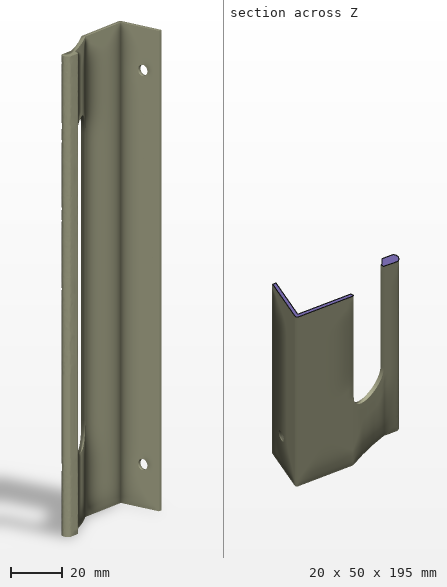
import cadquery as cq
import math

length = 195.0
depth = 50.0
flange_width = 20.0
sheet = 1.6
corner_radius = 1.0

wall_depth = 25.0
web_start_angle = math.radians(31.0)
web_end_angle = math.radians(19.0)
web_drop = 18.0

bead_left = 8.2
bead_right = 12.5
bead_nose_length = 1.7
bead_left_side = 4.4
bead_right_side = 3.8

slot_width = 19.0
slot_length = 136.0

hole_diameter = 4.5
hole_x = 12.2
hole_end_distance = 17.5

web_radius = web_drop / (math.sin(web_start_angle) - math.sin(web_end_angle))
arc_center_x = -web_radius * math.cos(web_start_angle)
arc_center_y = -wall_depth - web_radius * math.sin(web_start_angle)


def web_point(angle, offset):
    """Point on the web at a heading angle, offset from the outer face towards +X."""
    radius = web_radius + offset
    return (
        arc_center_x + radius * math.cos(angle),
        arc_center_y + radius * math.sin(angle),
    )


def make_sheet():
    """Flange, wall and curved web as one bent sheet."""
    mid_angle = (web_start_angle + web_end_angle) / 2
    inner_radius = web_radius + sheet
    inner_bend_y = arc_center_y + math.sqrt(inner_radius**2 - (sheet - arc_center_x) ** 2)
    return (
        cq.Workplane("XY")
        .moveTo(flange_width, 0)
        .lineTo(0, 0)
        .lineTo(0, -wall_depth)
        .threePointArc(web_point(mid_angle, 0), web_point(web_end_angle, 0))
        .lineTo(*web_point(web_end_angle, sheet))
        .threePointArc(web_point(mid_angle, sheet), (sheet, inner_bend_y))
        .lineTo(sheet, -sheet)
        .lineTo(flange_width, -sheet)
        .close()
        .extrude(length)
        .edges(cq.selectors.NearestToPointSelector((0, 0, length / 2)))
        .fillet(corner_radius)
    )


def make_bead():
    """Smooth rounded bead that grows out of the end of the web."""
    outer_end = web_point(web_end_angle, 0)
    inner_end = web_point(web_end_angle, sheet)
    side_front_y = -depth + bead_nose_length
    nose_x = (bead_left + bead_right) / 2
    bead_points = [
        (bead_left, side_front_y + bead_left_side),
        (bead_left, side_front_y),
        (nose_x, -depth),
        (bead_right, side_front_y),
        (bead_right, side_front_y + bead_right_side),
        inner_end,
    ]
    forward = (0, -1)
    across = (1, 0)
    backward = (0, 1)
    leaving_web = (-1, -2)
    returning_to_web = (-1, 0.5)
    bead_tangents = [
        leaving_web,
        forward,
        forward,
        across,
        backward,
        backward,
        returning_to_web,
    ]
    return (
        cq.Workplane("XY")
        .moveTo(*outer_end)
        .spline(bead_points, tangents=bead_tangents, includeCurrent=True)
        .close()
        .extrude(length)
    )


def make_finger_slot():
    """Round-ended opening cut square through the middle of the web."""
    mid_angle = (web_start_angle + web_end_angle) / 2
    center_x, center_y = web_point(mid_angle, sheet / 2)
    slot_plane = cq.Plane(
        origin=(center_x, center_y, length / 2),
        xDir=(0, 0, 1),
        normal=(math.cos(mid_angle), math.sin(mid_angle), 0),
    )
    return (
        cq.Workplane(slot_plane)
        .slot2D(slot_length, slot_width)
        .extrude(2 * sheet, both=True)
    )


def make_screw_hole(z):
    """Round hole through the flange along Y."""
    return (
        cq.Workplane("XZ")
        .center(hole_x, z)
        .circle(hole_diameter / 2)
        .extrude(sheet)
    )


result = make_sheet().cut(make_finger_slot()).union(make_bead())
for hole_z in (hole_end_distance, length - hole_end_distance):
    result = result.cut(make_screw_hole(hole_z))